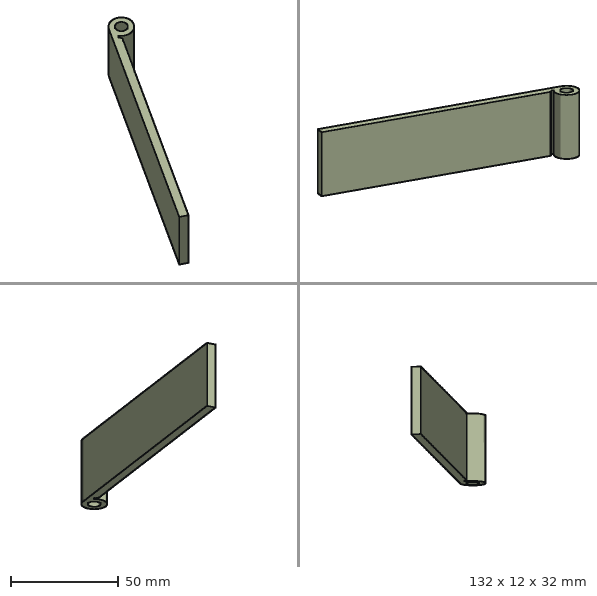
import cadquery as cq
import math

LENGTH = 132.0
HEIGHT = 32.0
BARREL_DIAMETER = 12.0
BORE_DIAMETER = 6.0
LEAF_THICKNESS = 4.5
NOTCH_FLOOR_WIDTH = 1.0

barrel_radius = BARREL_DIAMETER / 2
wall = (BARREL_DIAMETER - BORE_DIAMETER) / 2
leaf_end_x = LENGTH - barrel_radius
leaf_bottom_y = -barrel_radius
leaf_top_y = leaf_bottom_y + LEAF_THICKNESS

notch_floor_y = leaf_bottom_y + wall
notch_start_x = math.sqrt(barrel_radius**2 - notch_floor_y**2)
notch_floor_end_x = notch_start_x + NOTCH_FLOOR_WIDTH
notch_top_x = notch_floor_end_x + (leaf_top_y - notch_floor_y)


def make_body():
    """Rolled strip: barrel, relief notch and flat leaf as one extruded outline."""
    return (
        cq.Workplane("XY")
        .moveTo(leaf_end_x, leaf_bottom_y)
        .lineTo(0, leaf_bottom_y)
        .threePointArc((0, barrel_radius), (notch_start_x, notch_floor_y))
        .lineTo(notch_floor_end_x, notch_floor_y)
        .lineTo(notch_top_x, leaf_top_y)
        .lineTo(leaf_end_x, leaf_top_y)
        .close()
        .extrude(HEIGHT)
    )


def make_bore():
    """Pin hole through the full height of the barrel."""
    return cq.Workplane("XY").circle(BORE_DIAMETER / 2).extrude(HEIGHT)


result = make_body().cut(make_bore())